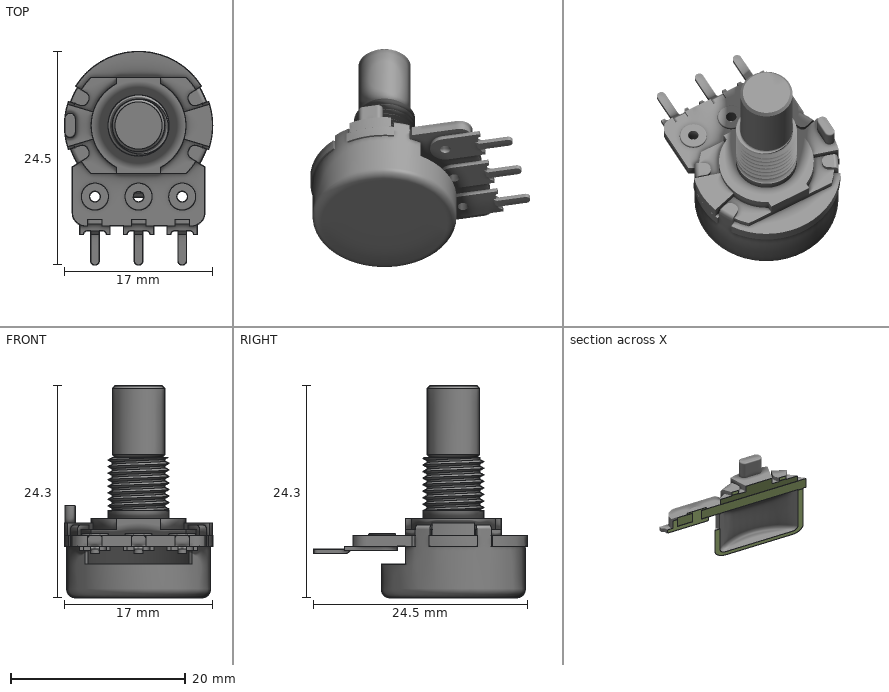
import cadquery as cq
import math


can_radius = 8.25
can_wall = 0.5
can_bottom_fillet = 1.0
opening_z = 3.85
can_top_z = 5.9

board_thickness = 1.25
board_top_z = can_top_z + board_thickness
board_radius = 8.5
board_half_width = 7.6
board_end_y = -11.5
board_corner_radius = 1.5

tab_angles = (19, 32)
tab_tip_radius = 6.4
tab_tip_fillet = 0.7
tab_tip_reach = 1.0
tab_bend_radius = can_wall

plate_radius = can_radius - can_wall
plate_half_depth = 5.5
plate_thickness = 0.7
plate_top_z = board_top_z + plate_thickness
tab_top_z = plate_top_z + can_wall
ear_top_z = 8.6
ear_half_angle = 16.7
key_length = 2.8
key_width = 1.2
key_x = -7.85
key_top_z = 10.6
key_top_fillet = 0.15

flange_radius = 5.43
flange_block_width = 5.0
flange_top_z = 9.1
collar_radius = 3.5
collar_top_z = 10.0
thread_core_radius = 3.025
thread_crest_radius = 3.5
thread_pitch = 0.75
thread_base_width = 0.62
thread_root_depth = 0.1
thread_crest_z = 10.16
thread_top_z = 16.1
shaft_radius = 3.0
shaft_chamfer = 0.3
shaft_top_z = 24.3

terminal_pitch = 5.0
terminal_count = 3
terminal_y = -8.15
terminal_thickness = 0.5
terminal_width = 3.5
terminal_end_y = -12.5
prong_width = 0.45
prong_arc_radius = 0.42
pin_width = 1.0
pin_end_y = -16.0
pin_drop = 0.32
pin_bend_offset = 0.3
rivet_head_radius = 1.55
rivet_head_height = 0.2
rivet_head_fillet = 0.1
rivet_shank_radius = 1.0
rivet_hole_radius = 0.6
stop_width = 1.66
stop_front_y = -11.3
stop_back_y = -10.75
stop_top_fillet = 0.3
stop_foot_fillet = 0.07

inside_rim = 4.0
past_outline = 12.0


def polar(radius, degrees):
    angle = math.radians(degrees)
    return (radius * math.cos(angle), radius * math.sin(angle))


def cylinder(radius, bottom_z, top_z, x=0.0, y=0.0):
    return cq.Workplane("XY", origin=(x, y, bottom_z)).circle(radius).extrude(top_z - bottom_z)


def block(width, back_y, front_y, bottom_z, top_z, x=0.0):
    """Box centred on x, from front_y to back_y."""
    origin = (x, (back_y + front_y) / 2, bottom_z)
    return cq.Workplane("XY", origin=origin).rect(width, back_y - front_y).extrude(top_z - bottom_z)


def sector(inner, outer, start, end, bottom_z, top_z):
    """Ring sector between two angles in degrees."""
    middle = (start + end) / 2
    return (
        cq.Workplane("XY", origin=(0, 0, bottom_z))
        .moveTo(*polar(inner, start))
        .lineTo(*polar(outer, start))
        .threePointArc(polar(outer, middle), polar(outer, end))
        .lineTo(*polar(inner, end))
        .threePointArc(polar(inner, middle), polar(inner, start))
        .close()
        .extrude(top_z - bottom_z)
    )


def tab_spans():
    """Start and end angles of the four tabs."""
    near, far = tab_angles
    return [(near, far), (180 - far, 180 - near), (180 + near, 180 + far), (360 - far, 360 - near)]


def terminal_positions():
    middle = (terminal_count - 1) / 2
    return [(i - middle) * terminal_pitch for i in range(terminal_count)]


def tab_gaps():
    """Start and end angles of the gaps between neighbouring tabs."""
    near, far = tab_angles
    return [(-near, near), (far, 180 - far), (180 - near, 180 + near), (180 + far, 360 - far)]


def make_can():
    """Cup with four locking tabs and an opening for the terminals."""
    can = cylinder(can_radius, 0, tab_top_z)
    can = can.faces("<Z").edges().fillet(can_bottom_fillet)
    can = can.faces(">Z").edges().fillet(tab_bend_radius)
    cavity = cylinder(plate_radius, can_wall, plate_top_z)
    cavity = cavity.faces("<Z").edges().fillet(can_bottom_fillet - can_wall)
    can = can.cut(cavity)
    can = can.cut(cylinder(tab_tip_radius, plate_top_z, tab_top_z))
    for start, end in tab_gaps():
        can = can.cut(sector(inside_rim, past_outline, start, end, can_top_z, tab_top_z))
    for start, end in tab_spans():
        near_x, near_y = polar(tab_tip_radius, (start + end) / 2)
        tip = cq.selectors.BoxSelector(
            (near_x - tab_tip_reach, near_y - tab_tip_reach, plate_top_z),
            (near_x + tab_tip_reach, near_y + tab_tip_reach, tab_top_z),
        )
        can = can.edges("|Z").edges(tip).fillet(tab_tip_fillet)
    side_angle = math.degrees(math.asin(plate_half_depth / can_radius))
    sides = (180 + side_angle, 360 - side_angle)
    return can.cut(sector(inside_rim, past_outline, *sides, opening_z, can_top_z))


def make_board():
    """Round board with a square terminal end, notched for the tabs and the terminal stops."""
    board = cylinder(board_radius, can_top_z, board_top_z)
    side_y = -board_half_width * math.tan(math.radians(tab_angles[1]))
    end = (
        cq.Workplane("XY", origin=(0, 0, can_top_z))
        .polyline([
            (0, 0),
            (-board_half_width, side_y),
            (-board_half_width, board_end_y),
            (board_half_width, board_end_y),
            (board_half_width, side_y),
        ])
        .close()
        .extrude(board_thickness)
        .edges("|Z and <Y")
        .fillet(board_corner_radius)
    )
    board = board.union(end)
    for start, end in tab_spans():
        board = board.cut(sector(plate_radius, past_outline, start, end, can_top_z, board_top_z))
    for x in terminal_positions():
        board = board.cut(cylinder(rivet_shank_radius, can_top_z, board_top_z, x, terminal_y))
        board = board.cut(block(stop_width, stop_back_y, board_end_y, can_top_z, board_top_z, x))
    return board


def make_thread():
    """Right-handed V ridge, trimmed flat at the collar and at the bushing end."""
    base_radius = thread_core_radius - thread_root_depth
    start_z = thread_crest_z - thread_pitch
    turns = math.ceil((thread_top_z - start_z) / thread_pitch) + 1
    path = cq.Wire.makeHelix(thread_pitch, turns * thread_pitch, base_radius, cq.Vector(0, 0, start_z))
    ridge = (
        cq.Workplane("XZ")
        .polyline([
            (base_radius, start_z - thread_base_width / 2),
            (thread_crest_radius, start_z),
            (base_radius, start_z + thread_base_width / 2),
        ])
        .close()
        .sweep(cq.Workplane(path), isFrenet=True)
    )
    core = cylinder(thread_core_radius, collar_top_z, thread_top_z)
    return core.union(ridge.intersect(cylinder(past_outline, collar_top_z, thread_top_z)))


def make_bushing():
    """Plate, ears, key, flange, collar, thread and shaft in one piece."""
    depth = (plate_half_depth, -plate_half_depth)
    bushing = cylinder(plate_radius, board_top_z, plate_top_z)
    bushing = bushing.intersect(block(2 * past_outline, *depth, board_top_z, plate_top_z))
    bushing = bushing.union(cylinder(flange_radius, plate_top_z, flange_top_z))
    bushing = bushing.union(block(flange_block_width, *depth, plate_top_z, flange_top_z))
    for middle in (0, 180):
        start, end = middle - ear_half_angle, middle + ear_half_angle
        ear = sector(collar_radius, board_radius, start, end, board_top_z, ear_top_z)
        bushing = bushing.union(ear)
    key = (
        cq.Workplane("XY", origin=(key_x, 0, ear_top_z))
        .slot2D(key_length, key_width, 90)
        .extrude(key_top_z - ear_top_z)
        .faces(">Z")
        .edges()
        .fillet(key_top_fillet)
    )
    shaft = cylinder(shaft_radius, thread_top_z, shaft_top_z).faces("<Z or >Z").chamfer(shaft_chamfer)
    bushing = bushing.union(key)
    bushing = bushing.union(cylinder(collar_radius, flange_top_z, collar_top_z))
    return bushing.union(make_thread()).union(shaft)


def make_strip():
    """Flat strip with a round end under the rivet and two prongs at the pin end."""
    half = terminal_width / 2
    prong_inner = half - prong_width
    arc_end = prong_inner - prong_arc_radius
    arc_y = terminal_end_y + prong_arc_radius
    arc_x_mid, arc_y_mid = polar(prong_arc_radius, 45)
    arc_x_mid += arc_end
    arc_y_mid += terminal_end_y
    return (
        cq.Workplane("XY", origin=(0, 0, can_top_z - terminal_thickness))
        .moveTo(half, terminal_y)
        .threePointArc((0, terminal_y + half), (-half, terminal_y))
        .lineTo(-half, terminal_end_y)
        .lineTo(-prong_inner, terminal_end_y)
        .threePointArc((-arc_x_mid, arc_y_mid), (-arc_end, arc_y))
        .lineTo(arc_end, arc_y)
        .threePointArc((arc_x_mid, arc_y_mid), (prong_inner, terminal_end_y))
        .lineTo(half, terminal_end_y)
        .close()
        .extrude(terminal_thickness)
    )


def make_pin():
    """Pin stepped down from the strip, with a full-round tip."""
    top_z = can_top_z
    bottom_z = can_top_z - terminal_thickness
    bend_y = terminal_end_y + prong_arc_radius
    pin = (
        cq.Workplane("YZ")
        .polyline([
            (bend_y + pin_bend_offset, top_z),
            (bend_y, top_z),
            (terminal_end_y, top_z - pin_drop),
            (pin_end_y, top_z - pin_drop),
            (pin_end_y, bottom_z - pin_drop),
            (terminal_end_y + pin_bend_offset, bottom_z - pin_drop),
            (bend_y + pin_bend_offset, bottom_z),
        ])
        .close()
        .extrude(pin_width / 2, both=True)
    )
    plan_length = -pin_end_y
    plan = cq.Workplane("XY", origin=(0, pin_end_y / 2, 0)).slot2D(plan_length, pin_width, 90)
    return pin.intersect(plan.extrude(top_z))


def make_terminal(x):
    """Strip, pin, board stop and hollow rivet of one terminal."""
    stop = block(stop_width, stop_back_y, stop_front_y, can_top_z, board_top_z)
    stop = stop.edges("|Y and >Z").fillet(stop_top_fillet)
    terminal = make_strip().union(stop)
    foot = cq.selectors.BoxSelector(
        (-stop_width, stop_front_y - stop_foot_fillet, can_top_z - stop_foot_fillet),
        (stop_width, stop_front_y + stop_foot_fillet, can_top_z + stop_foot_fillet),
    )
    terminal = terminal.edges(foot).fillet(stop_foot_fillet)
    head = cylinder(rivet_head_radius, board_top_z, board_top_z + rivet_head_height, 0, terminal_y)
    head = head.faces(">Z").edges().fillet(rivet_head_fillet)
    terminal = terminal.union(make_pin()).union(head)
    terminal = terminal.union(cylinder(rivet_shank_radius, can_top_z, board_top_z, 0, terminal_y))
    terminal = terminal.cut(cylinder(rivet_hole_radius, 0, flange_top_z, 0, terminal_y))
    return terminal.solids().translate((x, 0, 0))


can = make_can()
board = make_board()
bushing = make_bushing()
terminals = [make_terminal(x) for x in terminal_positions()]

result = cq.Compound.makeCompound(
    [can.val(), board.val(), bushing.val()] + [terminal.val() for terminal in terminals]
)